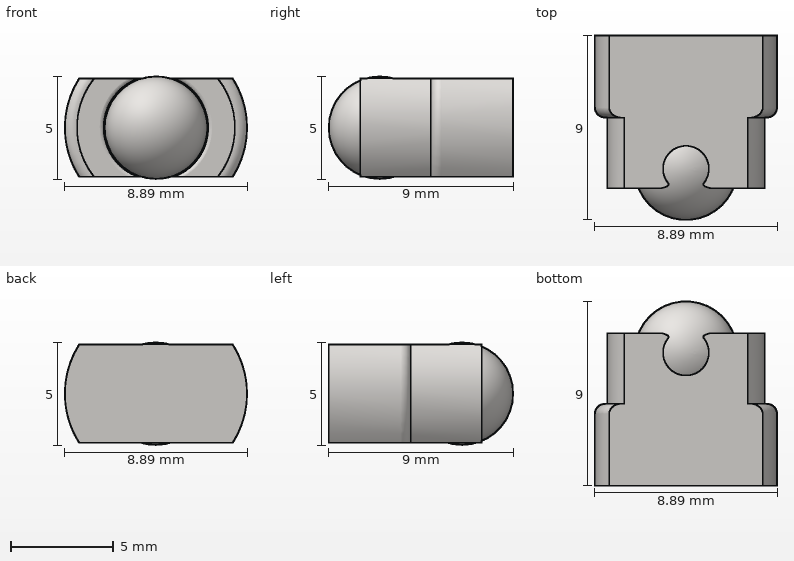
import cadquery as cq

ball_radius = 2.5
overall_length = 9.0
front_overhang = 1.55
socket_clearance = 0.14
mouth_round = 0.2
body_diameter = 8.89
nose_diameter = 7.7
nose_length = 3.45
shoulder_round = 0.5
thickness = 4.8

front_y = front_overhang - ball_radius
shoulder_y = front_y + nose_length
back_y = overall_length - ball_radius
socket_radius = ball_radius + socket_clearance


def cylinder(diameter, start_y, end_y):
    """Solid cylinder along Y between two positions."""
    plane = cq.Workplane("XZ", origin=(0, start_y, 0))
    return plane.circle(diameter / 2).extrude(start_y - end_y)


def make_ball():
    return cq.Workplane("XY").sphere(ball_radius)


def make_housing():
    body = cylinder(body_diameter, shoulder_y, back_y)
    body = body.faces("<Y").edges().fillet(shoulder_round)
    nose = cylinder(nose_diameter, front_y, shoulder_y + shoulder_round)
    housing = body.union(nose)

    socket = cq.Workplane("XY").sphere(socket_radius)
    housing = housing.cut(socket)
    mouth_edge = cq.selectors.RadiusNthSelector(0)
    housing = housing.faces("<Y").edges(mouth_edge).fillet(mouth_round)

    slab = cq.Workplane("XY").box(body_diameter, 2 * overall_length, thickness)
    return housing.intersect(slab)


ball = make_ball()
housing = make_housing()

result = cq.Compound.makeCompound([housing.solids().val(), ball.val()])